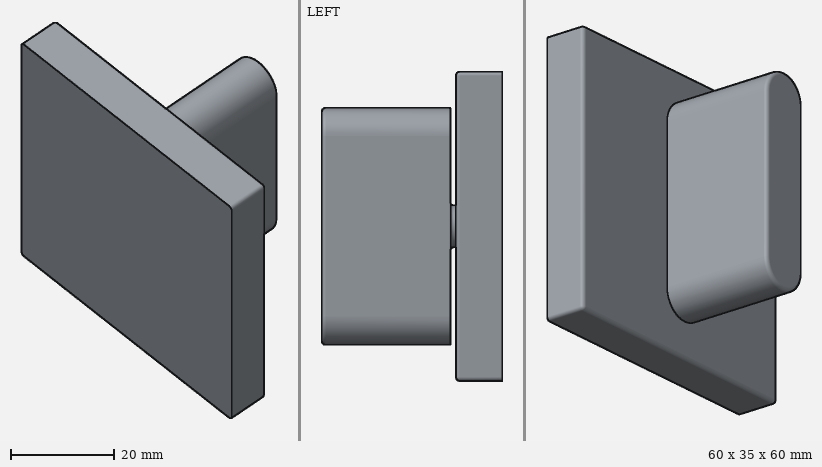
import cadquery as cq

plate_side = 60.0
plate_thickness = 9.0
plate_fillet = 0.8

grip_width = 11.0
grip_height = 46.0
grip_depth = 25.0
grip_back_fillet = 0.8
grip_front_fillet = 0.3

neck_diameter = 8.2
neck_length = 1.0
neck_fillet = 0.5

neck_start = plate_thickness
grip_start = neck_start + neck_length


def plane_at(y):
    """Vertical plane at the given Y, facing +Y."""
    return cq.Plane(origin=(0, y, 0), xDir=(-1, 0, 0), normal=(0, 1, 0))


def make_plate():
    """Square plate with rounded corners and a rounded back edge."""
    plate = cq.Workplane(plane_at(0)).rect(plate_side, plate_side).extrude(plate_thickness)
    plate = plate.edges("|Y").fillet(plate_fillet)
    return plate.faces(">Y").edges().fillet(plate_fillet)


def make_knob():
    """Upright grip and the neck that carries it, as one body."""
    grip = cq.Workplane(plane_at(grip_start)).slot2D(grip_height, grip_width, 90).extrude(grip_depth)
    grip = grip.faces(">Y").edges().fillet(grip_back_fillet)
    grip = grip.faces("<Y").edges().fillet(grip_front_fillet)

    neck = cq.Workplane(plane_at(neck_start)).circle(neck_diameter / 2).extrude(neck_length)
    knob = grip.union(neck)

    root_zone = cq.selectors.BoxSelector(
        (-neck_diameter, grip_start - neck_fillet / 2, -neck_diameter),
        (neck_diameter, grip_start + neck_fillet / 2, neck_diameter),
    )
    return knob.edges("%CIRCLE").edges(root_zone).fillet(neck_fillet)


plate = make_plate()
knob = make_knob()

result = cq.Compound.makeCompound([plate.val(), knob.val()])